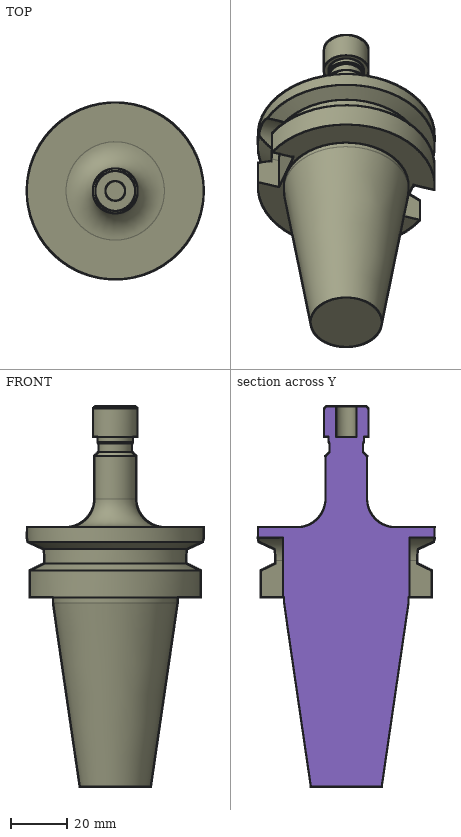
import cadquery as cq


gauge_diameter = 44.45
taper_length = 65.4
taper_ratio = 7 / 24
taper_end_diameter = gauge_diameter - taper_length * taper_ratio

flange_diameter = 63.0
flange_bottom = 2.0
flange_top = 27.0
groove_center = 16.6
groove_floor_diameter = 53.0
groove_floor_width = 5.0
groove_mouth_width = 10.1

slot_width = 16.1
slot_top = 23.1
slot_floor_distance = 22.5

arbor_top = 70.0
neck_diameter = 15.0
neck_fillet = 10.0
neck_top = 52.2
relief_diameter = 12.0
relief_bottom = 53.7
relief_top = 56.6
collar_diameter = 12.7
collar_bottom = 57.2
head_diameter = 16.0
head_length = 11.0
head_bottom = arbor_top - head_length
head_chamfer = 0.9

hole_diameter = 7.0
hole_depth = head_length


def make_body():
    """Revolve the full half-section about Z."""
    flange_radius = flange_diameter / 2
    floor_radius = groove_floor_diameter / 2
    neck_radius = neck_diameter / 2
    relief_radius = relief_diameter / 2
    collar_radius = collar_diameter / 2
    head_radius = head_diameter / 2
    half_floor = groove_floor_width / 2
    half_mouth = groove_mouth_width / 2
    fillet_arc_mid = neck_fillet * (1 - 0.5 ** 0.5)

    section = (
        cq.Workplane("XZ")
        .moveTo(0, -taper_length)
        .lineTo(taper_end_diameter / 2, -taper_length)
        .lineTo(gauge_diameter / 2, 0)
        .lineTo(gauge_diameter / 2, flange_bottom)
        .lineTo(flange_radius, flange_bottom)
        .lineTo(flange_radius, groove_center - half_mouth)
        .lineTo(floor_radius, groove_center - half_floor)
        .lineTo(floor_radius, groove_center + half_floor)
        .lineTo(flange_radius, groove_center + half_mouth)
        .lineTo(flange_radius, flange_top)
        .lineTo(neck_radius + neck_fillet, flange_top)
        .threePointArc(
            (neck_radius + fillet_arc_mid, flange_top + fillet_arc_mid),
            (neck_radius, flange_top + neck_fillet),
        )
        .lineTo(neck_radius, neck_top)
        .lineTo(relief_radius, relief_bottom)
        .lineTo(relief_radius, relief_top)
        .lineTo(collar_radius, collar_bottom)
        .lineTo(collar_radius, head_bottom)
        .lineTo(head_radius, head_bottom)
        .lineTo(head_radius, arbor_top - head_chamfer)
        .lineTo(head_radius - head_chamfer, arbor_top)
        .lineTo(0, arbor_top)
        .close()
    )
    return section.revolve(360, (0, 0, 0), (0, 1, 0))


def make_drive_slot(side):
    """Round-topped slot cutter on the +X (side = 1) or -X (side = -1) side."""
    half_width = slot_width / 2
    shoulder = slot_top - half_width
    return (
        cq.Workplane("YZ", origin=(side * slot_floor_distance, 0, 0))
        .moveTo(-half_width, flange_bottom)
        .lineTo(half_width, flange_bottom)
        .lineTo(half_width, shoulder)
        .threePointArc((0, slot_top), (-half_width, shoulder))
        .close()
        .extrude(side * (flange_diameter / 2))
    )


def make_head_hole():
    """Flat-bottomed hole going down from the top of the arbor."""
    return (
        cq.Workplane("XY", origin=(0, 0, arbor_top))
        .circle(hole_diameter / 2)
        .extrude(-hole_depth)
    )


result = make_body()
for side in (-1, 1):
    result = result.cut(make_drive_slot(side))
result = result.cut(make_head_hole())